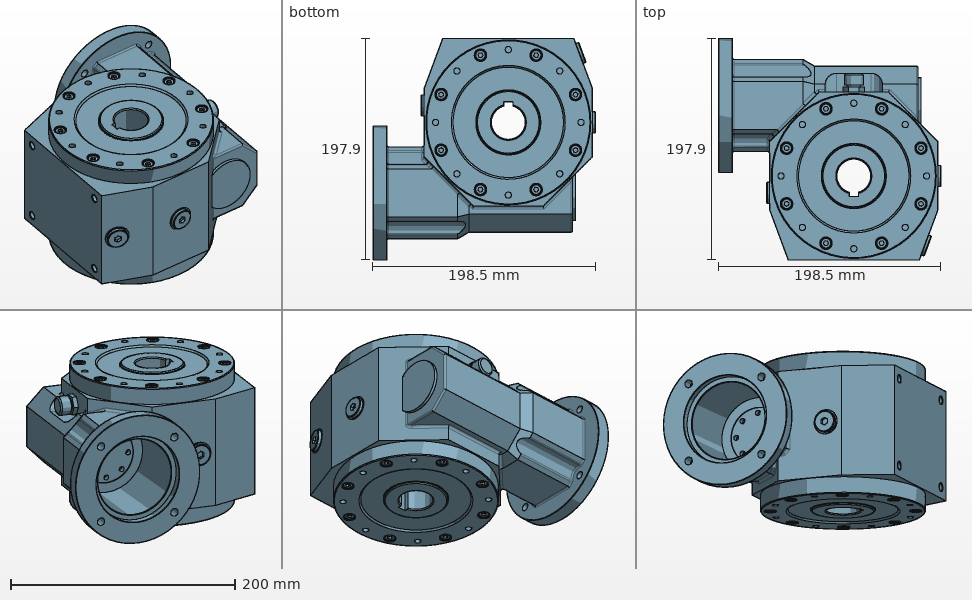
import cadquery as cq
import math


TOLERANCE = 0.02

BODY_HALF_WIDTH = 75.0
BODY_REAR_Y = 74.8
BODY_FRONT_Y = -75.0
BODY_HALF_HEIGHT = 50.0
REAR_DIAGONAL = BODY_REAR_Y * math.sqrt(2)
REAR_HALF_WIDTH = REAR_DIAGONAL - BODY_REAR_Y
SIDE_REAR_Y = REAR_DIAGONAL - BODY_HALF_WIDTH
FRONT_HALF_WIDTH = 58.5
SIDE_FRONT_Y = -30.5
BODY_JOINT_FILLET = 2.4

OVERALL_HEIGHT = 130.0
OVERALL_HALF_HEIGHT = OVERALL_HEIGHT / 2
COVER_DIAMETER = 147.3
COVER_CHAMFER = 0.8
RECESS_OUTER_DIAMETER = 101.6
RECESS_DEPTH = 1.5
SCREW_CIRCLE_RADIUS = 65.0
SCREW_COUNT = 8
COUNTERBORE_DIAMETER = 10.0
COUNTERBORE_DEPTH = 6.0
COUNTERBORE_CHAMFER = 0.5
SCREW_HEAD_DIAMETER = 8.5
SCREW_HEAD_HEIGHT = 5.0
SCREW_SOCKET_DIAMETER = 4.5
SCREW_SOCKET_DEPTH = 2.4
TAPPED_HOLE_DIAMETER = 5.5
TAPPED_HOLE_DEPTH = 12.0

HUB_DIAMETER = 57.0
HUB_CHAMFER = 1.0
HUB_GAP_DIAMETER = 58.2
HUB_GAP_DEPTH = 3.0
BORE_DIAMETER = 30.2
BORE_CHAMFER = 1.0
KEYWAY_WIDTH = 8.0
KEYWAY_BOTTOM_Y = -18.3

MOUNT_X = 47.2
MOUNT_Z = 39.7
MOUNT_HOLE_DIAMETER = 6.7
MOUNT_THREAD_DIAMETER = 8.0
MOUNT_HOLE_DEPTH = 13.9

INPUT_Y = 63.0
FLANGE_FACE_X = -120.7
FLANGE_THICKNESS = 12.5
FLANGE_BACK_X = FLANGE_FACE_X + FLANGE_THICKNESS
FLANGE_DIAMETER = 119.9
FLANGE_HOLE_DIAMETER = 7.0
FLANGE_HOLE_OFFSET = 35.3
REGISTER_DIAMETER = 80.0
REGISTER_DEPTH = 7.5
REGISTER_CHAMFER = 0.4
FLANGE_CHAMFER = 0.4
INPUT_BORE_DIAMETER = 70.5
INPUT_BORE_CHAMFER = 0.5

TUBE_HALF_WIDTH = 41.0
TUBE_FLAT_HALF = 21.5
TUBE_END_X = -45.3
TUBE_FLANGE_FILLET = 1.4
CASE_HALF_WIDTH = 35.1
CASE_START_X = -35.1
CASE_FLAT_HALF = TUBE_FLAT_HALF - (TUBE_HALF_WIDTH - CASE_HALF_WIDTH) * math.tan(math.radians(22.5))
CASE_END_X = 57.4
CASE_FILLET = 1.5
SCOOP_RADIUS = 10.0
SCOOP_EDGE_FILLET = 2.0
CAP_DIAMETER = 49.6
CAP_END_X = 60.1

COUPLING_DIAMETER = 52.0
COUPLING_HEIGHT = 1.0
COUPLING_HOLE_DIAMETER = 4.5
COUPLING_HOLE_RADIUS = 21.0
COUPLING_HOLE_COUNT = 8
COUPLING_HOLE_DEPTH = 6.0
COUPLING_HOLE_TIP = 1.4

POCKET_HALF_WIDTH = 25.6
POCKET_CORNER_RADIUS = 10.3
POCKET_FLOOR_Z = 25.5
VALVE_Z = 35.3
VALVE_HEX_DIAMETER = 19.0
VALVE_HEX_END_Y = 79.2
VALVE_NECK_DIAMETER = 12.0
VALVE_HEAD_DIAMETER = 17.0
VALVE_HEAD_START_Y = 81.2
VALVE_END_Y = 91.3
VALVE_CHAMFER = 1.4

PLUG_DIAMETER = 19.0
PLUG_PROTRUSION = 2.8
PLUG_CHAMFER = 0.5
SPOTFACE_DIAMETER = 22.0
SPOTFACE_DEPTH = 0.5
PLUG_SOCKET_DIAMETER = 7.0
PLUG_SOCKET_DEPTH = 3.0
LEFT_PLUG_Y = -15.0
SLOPE_PLUG_Y = -61.5


def x_plane(x):
    """Plane across the input axis, local x along +Y and local y along +Z."""
    return cq.Workplane("YZ", origin=(x, INPUT_Y, 0))


def octagon(half, flat):
    return [
        (half, -flat), (half, flat), (flat, half), (-flat, half),
        (-half, flat), (-half, -flat), (-flat, -half), (flat, -half),
    ]


def make_body():
    outline = [
        (-FRONT_HALF_WIDTH, BODY_FRONT_Y),
        (FRONT_HALF_WIDTH, BODY_FRONT_Y),
        (BODY_HALF_WIDTH, SIDE_FRONT_Y),
        (BODY_HALF_WIDTH, SIDE_REAR_Y),
        (REAR_HALF_WIDTH, BODY_REAR_Y),
        (-REAR_HALF_WIDTH, BODY_REAR_Y),
        (-BODY_HALF_WIDTH, SIDE_REAR_Y),
        (-BODY_HALF_WIDTH, SIDE_FRONT_Y),
    ]
    bottom = cq.Workplane("XY").workplane(offset=-BODY_HALF_HEIGHT)
    return bottom.polyline(outline).close().extrude(2 * BODY_HALF_HEIGHT)


def on_scoop(edge):
    """True for a lengthwise tube edge that borders one of the four corner scoops."""
    point = edge.Center()
    across = abs(point.y - INPUT_Y) - FLANGE_HOLE_OFFSET
    return abs(math.hypot(across, abs(point.z) - FLANGE_HOLE_OFFSET) - SCOOP_RADIUS) < TOLERANCE


def make_input_housing():
    tube_outline = octagon(TUBE_HALF_WIDTH, TUBE_FLAT_HALF)
    case_outline = octagon(CASE_HALF_WIDTH, CASE_FLAT_HALF)
    tube = x_plane(FLANGE_BACK_X).polyline(tube_outline).close().extrude(TUBE_END_X - FLANGE_BACK_X)
    taper_length = CASE_START_X - TUBE_END_X
    taper_angle = math.degrees(math.atan((TUBE_HALF_WIDTH - CASE_HALF_WIDTH) / taper_length))
    taper = x_plane(TUBE_END_X).polyline(tube_outline).close().extrude(taper_length, taper=taper_angle)
    case = (
        x_plane(CASE_START_X).polyline(case_outline).close().extrude(CASE_END_X - CASE_START_X)
        .faces(">X").edges().fillet(CASE_FILLET)
    )
    scoops = (
        x_plane(FLANGE_BACK_X)
        .rect(2 * FLANGE_HOLE_OFFSET, 2 * FLANGE_HOLE_OFFSET, forConstruction=True).vertices()
        .circle(SCOOP_RADIUS).extrude(CASE_START_X - FLANGE_BACK_X)
    )
    tube = tube.cut(scoops)
    scoop_edges = [edge for edge in tube.edges("|X").vals() if on_scoop(edge)]
    tube = tube.newObject(scoop_edges).fillet(SCOOP_EDGE_FILLET)
    return tube.union(taper.cut(scoops)).union(case)


def on_body_wall(edge):
    """True for a straight edge where the input housing meets the octagonal rear walls of the body."""
    if edge.geomType() != "LINE":
        return False
    box = edge.BoundingBox()
    if max(abs(box.zmin), abs(box.zmax)) > TUBE_HALF_WIDTH + TOLERANCE:
        return False
    for point in (edge.startPoint(), edge.endPoint(), edge.positionAt(0.5)):
        across = abs(point.x)
        wall_distance = max(
            across - BODY_HALF_WIDTH,
            point.y - BODY_REAR_Y,
            (across + point.y - REAR_DIAGONAL) / math.sqrt(2),
        )
        if abs(wall_distance) > TOLERANCE:
            return False
    return True


def on_flange_back(edge):
    """True for an edge where the input housing meets the back of the flange."""
    box = edge.BoundingBox()
    inside_tube = box.zmax < TUBE_HALF_WIDTH + TOLERANCE and box.zmin > -TUBE_HALF_WIDTH - TOLERANCE
    is_flange_hole = edge.geomType() == "CIRCLE" and edge.radius() < FLANGE_HOLE_DIAMETER / 2 + TOLERANCE
    flat = max(abs(box.xmin - FLANGE_BACK_X), abs(box.xmax - FLANGE_BACK_X)) < TOLERANCE
    return flat and inside_tube and not is_flange_hole


def valve_pocket():
    """Round-cornered trough cut into the gear case behind the body."""
    size = (2 * POCKET_HALF_WIDTH, CASE_HALF_WIDTH, BODY_HALF_HEIGHT - POCKET_FLOOR_Z)
    return (
        cq.Workplane("XY", origin=(0, BODY_REAR_Y, POCKET_FLOOR_Z))
        .box(*size, centered=(True, False, False))
        .edges("|Y and <Z").fillet(POCKET_CORNER_RADIUS)
    )


def make_valve():
    def rear_plane(y):
        return cq.Workplane("XZ", origin=(0, y, VALVE_Z))

    hexagon = rear_plane(BODY_REAR_Y).polygon(6, VALVE_HEX_DIAMETER)
    hexagon = hexagon.extrude(BODY_REAR_Y - VALVE_HEX_END_Y)
    neck = rear_plane(BODY_REAR_Y).circle(VALVE_NECK_DIAMETER / 2)
    neck = neck.extrude(BODY_REAR_Y - VALVE_HEAD_START_Y)
    head = rear_plane(VALVE_HEAD_START_Y).circle(VALVE_HEAD_DIAMETER / 2)
    head = head.extrude(VALVE_HEAD_START_Y - VALVE_END_Y).faces(">Y").chamfer(VALVE_CHAMFER)
    return hexagon.union(neck).union(head)


def cover_pattern(start_angle, depth):
    """Points on the screw circle, at a depth below the top of the upper cover."""
    plane = cq.Workplane("XY").workplane(offset=OVERALL_HALF_HEIGHT - depth)
    return plane.polarArray(SCREW_CIRCLE_RADIUS, start_angle, 360, SCREW_COUNT)


def make_cover():
    """Upper cover with its screws, tapped holes and the shaft hub."""
    height = OVERALL_HALF_HEIGHT - BODY_HALF_HEIGHT
    top = cq.Workplane("XY").workplane(offset=OVERALL_HALF_HEIGHT)
    cover = cq.Workplane("XY").workplane(offset=BODY_HALF_HEIGHT).circle(COVER_DIAMETER / 2)
    cover = cover.extrude(height).faces(">Z").chamfer(COVER_CHAMFER)
    recess = top.circle(RECESS_OUTER_DIAMETER / 2).extrude(-RECESS_DEPTH, taper=45)
    hub = top.circle(HUB_DIAMETER / 2).extrude(-height).faces(">Z").chamfer(HUB_CHAMFER)
    gap = top.circle(HUB_GAP_DIAMETER / 2).extrude(-HUB_GAP_DEPTH)
    cover = cover.cut(recess).cut(gap).union(hub)

    half_step = 180 / SCREW_COUNT
    tapped = cover_pattern(0, 0).circle(TAPPED_HOLE_DIAMETER / 2)
    cover = cover.cut(tapped.extrude(-TAPPED_HOLE_DEPTH))
    counterbores = cover_pattern(half_step, 0).circle(COUNTERBORE_DIAMETER / 2)
    cover = cover.cut(counterbores.extrude(-COUNTERBORE_DEPTH))
    mouths = cover_pattern(half_step, 0).circle(COUNTERBORE_DIAMETER / 2 + COUNTERBORE_CHAMFER)
    cover = cover.cut(mouths.extrude(-COUNTERBORE_CHAMFER, taper=45))
    heads = cover_pattern(half_step, COUNTERBORE_DEPTH).circle(SCREW_HEAD_DIAMETER / 2)
    cover = cover.union(heads.extrude(SCREW_HEAD_HEIGHT))
    sockets = cover_pattern(half_step, COUNTERBORE_DEPTH - SCREW_HEAD_HEIGHT)
    return cover.cut(sockets.polygon(6, SCREW_SOCKET_DIAMETER).extrude(-SCREW_SOCKET_DEPTH))


def cut_output_bore(part):
    bottom = cq.Workplane("XY").workplane(offset=-OVERALL_HALF_HEIGHT)
    bore = bottom.circle(BORE_DIAMETER / 2).extrude(OVERALL_HEIGHT)
    for z, direction in ((OVERALL_HALF_HEIGHT, -1), (-OVERALL_HALF_HEIGHT, 1)):
        mouth = cq.Workplane("XY").workplane(offset=z).circle(BORE_DIAMETER / 2 + BORE_CHAMFER)
        bore = bore.union(mouth.extrude(direction * BORE_CHAMFER, taper=45))
    keyway = bottom.center(0, KEYWAY_BOTTOM_Y / 2).rect(KEYWAY_WIDTH, -KEYWAY_BOTTOM_Y)
    keyway = keyway.extrude(OVERALL_HEIGHT)
    return part.cut(bore).cut(keyway)


def cut_mounting_holes(part):
    front = cq.Workplane("XZ", origin=(0, BODY_FRONT_Y, 0))
    centres = front.rect(2 * MOUNT_X, 2 * MOUNT_Z, forConstruction=True).vertices()
    part = part.cut(centres.circle(MOUNT_HOLE_DIAMETER / 2).extrude(-MOUNT_HOLE_DEPTH))
    countersink_depth = (MOUNT_THREAD_DIAMETER - MOUNT_HOLE_DIAMETER) / 2
    return part.cut(centres.circle(MOUNT_THREAD_DIAMETER / 2).extrude(-countersink_depth, taper=45))


def make_flange():
    flange = x_plane(FLANGE_FACE_X).circle(FLANGE_DIAMETER / 2).extrude(FLANGE_THICKNESS)
    flange = flange.edges().chamfer(FLANGE_CHAMFER)
    holes = (
        x_plane(FLANGE_FACE_X)
        .rect(2 * FLANGE_HOLE_OFFSET, 2 * FLANGE_HOLE_OFFSET, forConstruction=True).vertices()
        .circle(FLANGE_HOLE_DIAMETER / 2).extrude(FLANGE_THICKNESS)
    )
    return flange.cut(holes)


def cut_input_bore(part):
    face = x_plane(FLANGE_FACE_X)
    part = part.cut(face.circle(REGISTER_DIAMETER / 2).extrude(REGISTER_DEPTH))
    mouth = face.circle(REGISTER_DIAMETER / 2 + REGISTER_CHAMFER)
    part = part.cut(mouth.extrude(REGISTER_CHAMFER, taper=45))
    part = part.cut(face.circle(INPUT_BORE_DIAMETER / 2).extrude(TUBE_END_X - FLANGE_FACE_X))
    bore_mouth = x_plane(FLANGE_FACE_X + REGISTER_DEPTH)
    bore_mouth = bore_mouth.circle(INPUT_BORE_DIAMETER / 2 + INPUT_BORE_CHAMFER)
    part = part.cut(bore_mouth.extrude(INPUT_BORE_CHAMFER, taper=45))
    part = part.union(x_plane(TUBE_END_X).circle(COUPLING_DIAMETER / 2).extrude(-COUPLING_HEIGHT))
    holes = x_plane(TUBE_END_X - COUPLING_HEIGHT)
    holes = holes.polarArray(COUPLING_HOLE_RADIUS, 0, 360, COUPLING_HOLE_COUNT)
    part = part.cut(holes.circle(COUPLING_HOLE_DIAMETER / 2).extrude(COUPLING_HOLE_DEPTH))
    tip_x = TUBE_END_X - COUPLING_HEIGHT + COUPLING_HOLE_DEPTH
    for index in range(COUPLING_HOLE_COUNT):
        angle = 2 * math.pi * index / COUPLING_HOLE_COUNT
        centre = cq.Vector(
            tip_x,
            INPUT_Y + COUPLING_HOLE_RADIUS * math.cos(angle),
            COUPLING_HOLE_RADIUS * math.sin(angle),
        )
        tip = cq.Solid.makeCone(
            COUPLING_HOLE_DIAMETER / 2, 0, COUPLING_HOLE_TIP, pnt=centre, dir=cq.Vector(1, 0, 0)
        )
        part = part.cut(cq.Workplane(tip))
    return part


def add_plug(part, point, normal):
    """Oil plug with a hex socket, standing in a shallow spotface on a body wall."""
    wall = cq.Workplane(cq.Plane(origin=point, xDir=(0, 0, 1), normal=normal))
    part = part.cut(wall.circle(SPOTFACE_DIAMETER / 2).extrude(-SPOTFACE_DEPTH))
    plug = wall.workplane(offset=-SPOTFACE_DEPTH).circle(PLUG_DIAMETER / 2)
    plug = plug.extrude(SPOTFACE_DEPTH + PLUG_PROTRUSION)
    outer_face = cq.selectors.DirectionMinMaxSelector(cq.Vector(*normal), True)
    plug = plug.faces(outer_face).chamfer(PLUG_CHAMFER)
    socket = wall.workplane(offset=PLUG_PROTRUSION).polygon(6, PLUG_SOCKET_DIAMETER)
    return part.union(plug).cut(socket.extrude(-PLUG_SOCKET_DEPTH))


def add_plugs(part):
    part = add_plug(part, (-BODY_HALF_WIDTH, LEFT_PLUG_Y, 0), (-1, 0, 0))
    part = add_plug(part, (BODY_HALF_WIDTH, 0, 0), (1, 0, 0))
    slope_run = BODY_HALF_WIDTH - FRONT_HALF_WIDTH
    slope_rise = SIDE_FRONT_Y - BODY_FRONT_Y
    slope_x = FRONT_HALF_WIDTH + slope_run * (SLOPE_PLUG_Y - BODY_FRONT_Y) / slope_rise
    return add_plug(part, (slope_x, SLOPE_PLUG_Y, 0), (slope_rise, -slope_run, 0))


def fillet_where(part, is_wanted, radius):
    """Round the edges of the part that the given test accepts."""
    edges = [edge for edge in part.edges().vals() if is_wanted(edge)]
    return part.newObject(edges).fillet(radius)


result = make_body().union(make_input_housing())
result = fillet_where(result, on_body_wall, BODY_JOINT_FILLET)
result = result.cut(valve_pocket()).union(make_valve())
result = result.union(make_flange())
result = fillet_where(result, on_flange_back, TUBE_FLANGE_FILLET)
end_cap = x_plane(CASE_END_X).circle(CAP_DIAMETER / 2).extrude(CAP_END_X - CASE_END_X)
upper_cover = make_cover()
result = result.union(end_cap).union(upper_cover).union(upper_cover.mirror("XY"))
result = cut_output_bore(result)
result = cut_mounting_holes(result)
result = cut_input_bore(result)
result = add_plugs(result)